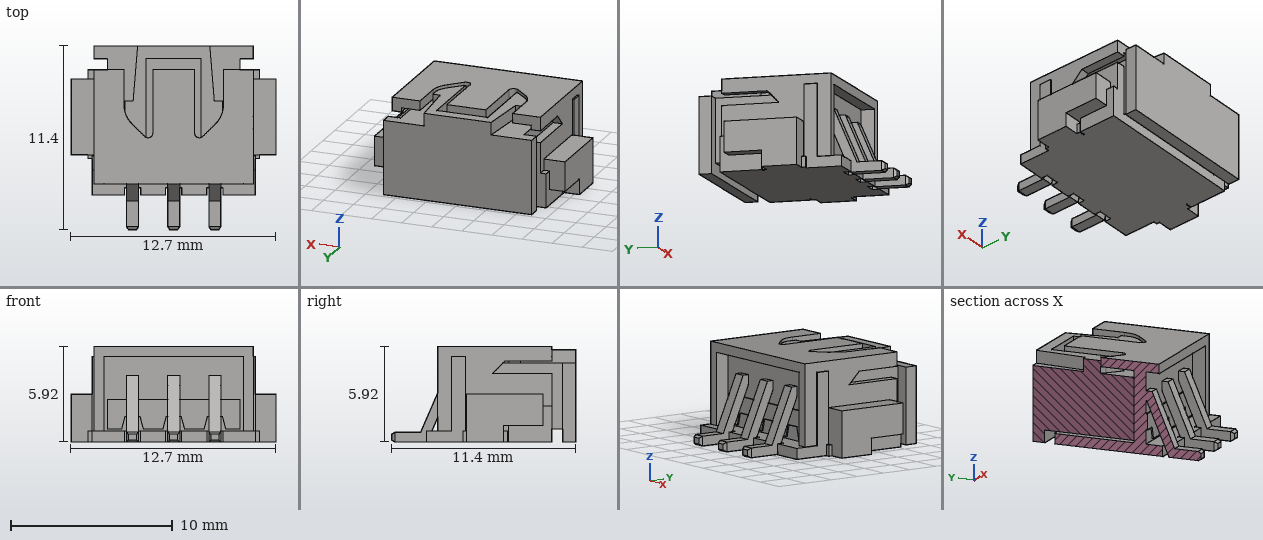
import cadquery as cq
import math


SHROUD_WIDTH = 9.86
SHROUD_LENGTH = 7.07
SHROUD_HEIGHT = 5.92
WALL = 0.62
CAVITY_WIDTH = SHROUD_WIDTH - 2 * WALL
CAVITY_TOP = SHROUD_HEIGHT - WALL

SIDE_SLOT_BOTTOM = 4.25
SIDE_SLOT_TOP = 5.02
SIDE_SLOT_END = 3.4

BASE_WIDTH = 10.09
BASE_THICKNESS = 0.7
BASE_OVERHANG = 0.7
FOOT_WIDTH = 10.62
FOOT_REAR = 1.56
FOOT_FRONT = 4.32
WALL_REAR = 0.87
WALL_FRONT = 1.72

PAD_TOP = 2.65
PAD_HEIGHT = 0.09
PAD_NOTCH_TOP = 1.6
PAD_NOTCH_TOP_WIDTH = 0.92
PAD_NOTCH_BOTTOM_WIDTH = 1.34

BLOCK_REAR = 4.37
BLOCK_HEIGHT = 2.24
TAB_SPAN = 12.67
TAB_REAR = 1.8
TAB_FRONT = 6.5
TAB_HEIGHT = 2.98
TAB_STEP_HEIGHT = 1.03
TAB_STEP_REAR = 4.08

PIN_COUNT = 3
PIN_PITCH = 2.55
PIN_WIDTH = 0.75
PIN_THICKNESS = 0.62
PIN_TOP = 4.12
PIN_TOP_BEND = 0.47
PIN_FOOT_BEND = -1.05
PIN_LOWER_BEND = -0.65
PIN_END = -2.84
PIN_TIP_LENGTH = 0.2
PIN_TIP_INSET = 0.13
PIN_NOTCH_WIDTH = 0.99
PIN_NOTCH_END = -0.24

OPENING_HALF_WIDTH = 3.08
OPENING_CORNER_Y = 4.2
OPENING_CORNER_RADIUS = 1.71
TONGUE_HALF_WIDTH = 1.29
SLOT_END_RADIUS = 0.29
SLOT_END_CENTER_Y = 3.14

PLUG_WIDTH = 8.21
PLUG_BOTTOM = 0.81
PLUG_TOP = 4.89
PLUG_FRONT = 8.54
FLANGE_REAR = 7.73
LATCH_BAR_REAR = 7.77
LATCH_TOP = 5.71
LATCH_HALF_WIDTH = 2.23
ARM_INNER = 1.7
HOOK_SHOULDER_Y = 5.12
HOOK_ROOT = 2.51
HOOK_OUTER = 3.0

PIN_POSITIONS = [(i - (PIN_COUNT - 1) / 2) * PIN_PITCH for i in range(PIN_COUNT)]


def block(width, rear, front, bottom, top):
    """Box centred on x = 0 between the given Y and Z limits."""
    body = cq.Workplane("XY").box(width, front - rear, top - bottom, centered=(True, False, False))
    return body.translate((0, rear, bottom))


def side_profile(points, width):
    """Solid with the given (y, z) outline, centred on x = 0."""
    return cq.Workplane("YZ").polyline(points).close().extrude(width / 2, both=True)


def latch_opening():
    """Pair of roof openings beside the tongue, reaching out to the front of the plug."""
    slot_center_x = TONGUE_HALF_WIDTH + SLOT_END_RADIUS
    corner_dx = OPENING_HALF_WIDTH - slot_center_x
    corner_dy = OPENING_CORNER_Y - SLOT_END_CENTER_Y
    corner_distance = math.hypot(corner_dx, corner_dy)
    slant = math.atan2(corner_dy, corner_dx) + math.asin(SLOT_END_RADIUS / corner_distance)
    tangent_length = OPENING_CORNER_RADIUS * math.tan((math.pi / 2 - slant) / 2)

    arc_start = (OPENING_HALF_WIDTH, OPENING_CORNER_Y + tangent_length)
    arc_end = (
        OPENING_HALF_WIDTH - tangent_length * math.cos(slant),
        OPENING_CORNER_Y - tangent_length * math.sin(slant),
    )
    slot_start = (
        slot_center_x + SLOT_END_RADIUS * math.sin(slant),
        SLOT_END_CENTER_Y - SLOT_END_RADIUS * math.cos(slant),
    )
    right = (
        cq.Workplane("XY", origin=(0, 0, PLUG_TOP))
        .moveTo(OPENING_HALF_WIDTH, PLUG_FRONT)
        .lineTo(*arc_start)
        .tangentArcPoint(arc_end, relative=False)
        .lineTo(*slot_start)
        .tangentArcPoint((TONGUE_HALF_WIDTH, SLOT_END_CENTER_Y), relative=False)
        .lineTo(TONGUE_HALF_WIDTH, PLUG_FRONT)
        .close()
        .extrude(SHROUD_HEIGHT - PLUG_TOP)
    )
    return right.union(right.mirror("YZ"))


def shroud():
    """Rectangular sleeve with the latch openings in its roof and a slot in each side wall."""
    body = block(SHROUD_WIDTH, 0, SHROUD_LENGTH, 0, SHROUD_HEIGHT)
    body = body.cut(block(CAVITY_WIDTH, 0, SHROUD_LENGTH, BASE_THICKNESS, CAVITY_TOP))
    body = body.cut(latch_opening())
    slot_height = SIDE_SLOT_TOP - SIDE_SLOT_BOTTOM
    side_slot = side_profile(
        [
            (SHROUD_LENGTH, SIDE_SLOT_BOTTOM),
            (SIDE_SLOT_END, SIDE_SLOT_BOTTOM),
            (SIDE_SLOT_END + slot_height, SIDE_SLOT_TOP),
            (SHROUD_LENGTH, SIDE_SLOT_TOP),
        ],
        SHROUD_WIDTH,
    )
    return body.cut(side_slot)


def base():
    """Base plate with pin notches, the wider feet and the wall that carries the pins."""
    body = block(BASE_WIDTH, -BASE_OVERHANG, WALL_FRONT, 0, BASE_THICKNESS)
    for x in PIN_POSITIONS:
        notch = block(PIN_NOTCH_WIDTH, -BASE_OVERHANG, PIN_NOTCH_END, 0, BASE_THICKNESS)
        body = body.cut(notch.translate((x, 0, 0)))
    body = body.union(block(FOOT_WIDTH, FOOT_REAR, FOOT_FRONT, 0, BASE_THICKNESS))
    return body.union(block(BASE_WIDTH, WALL_REAR, WALL_FRONT, 0, CAVITY_TOP))


def pad():
    """Shallow pad on the rear of the pin wall with a tapered notch below each pin."""
    body = block(PLUG_WIDTH, WALL_REAR - PAD_HEIGHT, WALL_REAR, PLUG_BOTTOM, PAD_TOP)
    for x in PIN_POSITIONS:
        notch = (
            cq.Workplane("XZ", origin=(x, WALL_REAR, 0))
            .moveTo(-PAD_NOTCH_BOTTOM_WIDTH / 2, PLUG_BOTTOM)
            .lineTo(-PAD_NOTCH_TOP_WIDTH / 2, PAD_NOTCH_TOP)
            .lineTo(PAD_NOTCH_TOP_WIDTH / 2, PAD_NOTCH_TOP)
            .lineTo(PAD_NOTCH_BOTTOM_WIDTH / 2, PLUG_BOTTOM)
            .close()
            .extrude(PAD_HEIGHT)
        )
        body = body.cut(notch)
    return body


def side_tabs():
    """Blocks beside the mating end and the stepped tabs that stand out on both sides."""
    blocks = block(FOOT_WIDTH, BLOCK_REAR, SHROUD_LENGTH, 0, BLOCK_HEIGHT)
    tabs = side_profile(
        [
            (TAB_REAR, 0),
            (TAB_STEP_REAR, 0),
            (TAB_STEP_REAR, TAB_STEP_HEIGHT),
            (TAB_FRONT, TAB_STEP_HEIGHT),
            (TAB_FRONT, TAB_HEIGHT),
            (TAB_REAR, TAB_HEIGHT),
        ],
        TAB_SPAN,
    )
    inside = block(SHROUD_WIDTH, 0, SHROUD_LENGTH, 0, SHROUD_HEIGHT)
    return blocks.union(tabs).cut(inside)


def pin():
    """Pin that leaves the wall, slants down and ends in a flat foot with a tapered tip."""
    tip_start = PIN_END + PIN_TIP_LENGTH
    shank = side_profile(
        [
            (WALL_REAR, PIN_TOP),
            (PIN_TOP_BEND, PIN_TOP),
            (PIN_FOOT_BEND, PIN_THICKNESS),
            (tip_start, PIN_THICKNESS),
            (tip_start, 0),
            (PIN_LOWER_BEND, 0),
            (WALL_REAR, PIN_TOP - PIN_THICKNESS),
        ],
        PIN_WIDTH,
    )
    tip = (
        cq.Workplane("XZ", origin=(0, tip_start, PIN_THICKNESS / 2))
        .rect(PIN_WIDTH, PIN_THICKNESS)
        .workplane(offset=PIN_TIP_LENGTH)
        .rect(PIN_WIDTH - 2 * PIN_TIP_INSET, PIN_THICKNESS - 2 * PIN_TIP_INSET)
        .loft()
    )
    return shank.union(tip)


def make_header():
    """Shroud, base, pad, side tabs and pins as one solid."""
    body = shroud().union(base()).union(pad()).union(side_tabs())
    for x in PIN_POSITIONS:
        body = body.union(pin().translate((x, 0, 0)))
    return body


def latch():
    """U-shaped latch: a front bar and two tapered arms whose hooks fit the roof openings."""
    right_half = [
        (0, PLUG_FRONT),
        (LATCH_HALF_WIDTH, PLUG_FRONT),
        (HOOK_ROOT, HOOK_SHOULDER_Y),
        (HOOK_OUTER, HOOK_SHOULDER_Y),
        (HOOK_OUTER, 0),
        (ARM_INNER, 0),
        (ARM_INNER, LATCH_BAR_REAR),
        (0, LATCH_BAR_REAR),
    ]
    height = LATCH_TOP - PLUG_TOP
    right = cq.Workplane("XY", origin=(0, 0, PLUG_TOP)).polyline(right_half).close().extrude(height)
    outline = right.union(right.mirror("YZ"))
    front_bar = block(2 * LATCH_HALF_WIDTH, LATCH_BAR_REAR, PLUG_FRONT, PLUG_TOP, LATCH_TOP)
    arms = outline.intersect(latch_opening())
    return front_bar.union(arms)


def make_plug():
    """Plug block that fills the shroud up to the pin wall, with a front flange and the latch on top."""
    body = block(PLUG_WIDTH, WALL_FRONT, PLUG_FRONT, PLUG_BOTTOM, PLUG_TOP)
    body = body.union(block(SHROUD_WIDTH, FLANGE_REAR, PLUG_FRONT, 0, PLUG_TOP))
    return body.union(latch())


header = make_header()
plug = make_plug()

result = cq.Compound.makeCompound([header.val(), plug.val()])